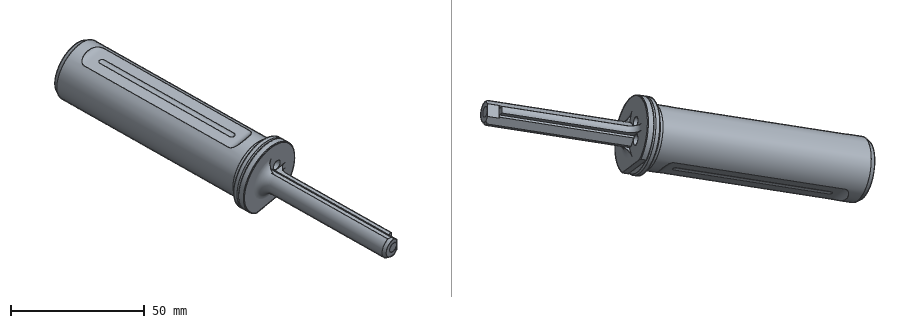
import cadquery as cq
import math

TOTAL_LENGTH = 155.0

GRIP_RADIUS = 12.5
GRIP_CHAMFER_LENGTH = 2.0
GRIP_CHAMFER_DEPTH = 1.16
RELIEF_START = 87.5
RELIEF_TAPER_LENGTH = 1.0
RELIEF_DEPTH = 0.3

FLANGE_START = 89.7
FLANGE_RADIUS = 15.0
FLANGE_WIDTH = 5.3
FLANGE_CHAMFER = 0.3
RIM_WIDTH = 2.6
RIM_TAPER_LENGTH = 0.8
RIM_TAPER_DEPTH = 0.5
FLANGE_END = FLANGE_START + FLANGE_WIDTH
RIM_END = FLANGE_START + RIM_WIDTH

SHAFT_RADIUS = 5.0
SHAFT_FILLET = 4.0
TIP_CHAMFER_LENGTH = 1.2
TIP_CHAMFER_DEPTH = 1.0

FLAT_START = 9.9
FLAT_END = 80.0
FLAT_HEIGHT = 11.0
FLAT_CUTTER_RADIUS = 4.0

GROOVE_START = 12.4
GROOVE_END = 77.8
GROOVE_WIDTH = 2.5
GROOVE_BALL_RADIUS = 2.0

WIRE_HOLE_RADIUS = 2.0
WIRE_HOLE_Y = 4.2
WIRE_HOLE_Z = 3.5
RIB_HALF_THICKNESS = 1.35
RIB_ROOT_Y = 2.5
RIB_END = 150.2
SHAFT_FLAT_WIDTH = 1.5
SHAFT_FLAT_HEIGHT = math.sqrt(SHAFT_RADIUS**2 - SHAFT_FLAT_WIDTH**2)
CHANNEL_WALL_TOP_Y = 0.8
TIP_CUT_Y = 2.2

PIN_RADIUS = 2.0

SIDES = (1, -1)


def x_cylinder(radius, start, end, y=0.0, z=0.0):
    """Cylinder parallel to X."""
    return cq.Workplane("YZ", origin=(start, y, z)).circle(radius).extrude(end - start)


def turned_blank():
    """Grip, flange and shaft as one turned shape."""
    relief_radius = GRIP_RADIUS - RELIEF_DEPTH
    fillet_end = FLANGE_END + SHAFT_FILLET
    fillet_center_radius = SHAFT_RADIUS + SHAFT_FILLET
    fillet_reach = SHAFT_FILLET * math.sqrt(0.5)
    profile = (
        cq.Workplane("XY")
        .moveTo(0, 0)
        .lineTo(0, GRIP_RADIUS - GRIP_CHAMFER_DEPTH)
        .lineTo(GRIP_CHAMFER_LENGTH, GRIP_RADIUS)
        .lineTo(RELIEF_START, GRIP_RADIUS)
        .lineTo(RELIEF_START + RELIEF_TAPER_LENGTH, relief_radius)
        .lineTo(FLANGE_START, relief_radius)
        .lineTo(FLANGE_START, FLANGE_RADIUS - FLANGE_CHAMFER)
        .lineTo(FLANGE_START + FLANGE_CHAMFER, FLANGE_RADIUS)
        .lineTo(RIM_END - RIM_TAPER_LENGTH, FLANGE_RADIUS)
        .lineTo(RIM_END, FLANGE_RADIUS - RIM_TAPER_DEPTH)
        .lineTo(RIM_END, FLANGE_RADIUS)
        .lineTo(FLANGE_END - FLANGE_CHAMFER, FLANGE_RADIUS)
        .lineTo(FLANGE_END, FLANGE_RADIUS - FLANGE_CHAMFER)
        .lineTo(FLANGE_END, fillet_center_radius)
        .threePointArc(
            (fillet_end - fillet_reach, fillet_center_radius - fillet_reach),
            (fillet_end, SHAFT_RADIUS),
        )
        .lineTo(TOTAL_LENGTH - TIP_CHAMFER_LENGTH, SHAFT_RADIUS)
        .lineTo(TOTAL_LENGTH, SHAFT_RADIUS - TIP_CHAMFER_DEPTH)
        .lineTo(TOTAL_LENGTH, 0)
        .close()
    )
    return profile.revolve(360, (0, 0, 0), (1, 0, 0))


def flange_flat():
    """Material below the flat on the second flange disc, level with the grip."""
    depth = FLANGE_RADIUS - GRIP_RADIUS
    return cq.Workplane("XY").box(
        FLANGE_END - RIM_END, 2 * FLANGE_RADIUS, depth, centered=(False, True, False)
    ).translate((RIM_END, 0, -FLANGE_RADIUS))


def grip_flat(side):
    """Cutter for one grip flat, whose ends sweep up with the cutter radius."""
    radius = FLAT_CUTTER_RADIUS
    floor = side * FLAT_HEIGHT
    top = side * (FLAT_HEIGHT + radius)
    middle_rise = side * radius * (1 - math.sqrt(0.5))
    middle_run = radius * math.sqrt(0.5)
    return (
        cq.Workplane("XZ")
        .moveTo(FLAT_START, floor)
        .lineTo(FLAT_END, floor)
        .threePointArc((FLAT_END + middle_run, floor + middle_rise), (FLAT_END + radius, top))
        .lineTo(FLAT_START - radius, top)
        .threePointArc((FLAT_START - middle_run, floor + middle_rise), (FLAT_START, floor))
        .close()
        .extrude(GRIP_RADIUS, both=True)
    )


def grip_groove(side):
    """Ball-ended cutter, sunk into a flat only as far as the groove width needs."""
    half_width = GROOVE_WIDTH / 2
    lift = math.sqrt(GROOVE_BALL_RADIUS**2 - half_width**2)
    z = side * (FLAT_HEIGHT + lift)
    start = GROOVE_START + half_width
    end = GROOVE_END - half_width
    groove = x_cylinder(GROOVE_BALL_RADIUS, start, end, z=z)
    for x in (start, end):
        groove = groove.union(cq.Workplane("XY", origin=(x, 0, z)).sphere(GROOVE_BALL_RADIUS))
    return groove


def shaft_channel(side):
    """Open channel along the shaft: a narrow flat, a 45 degree slope and the top of the rib."""
    outside = SHAFT_RADIUS + SHAFT_FILLET
    section = [
        (-SHAFT_FLAT_WIDTH, SHAFT_FLAT_HEIGHT),
        (0, SHAFT_FLAT_HEIGHT),
        (RIB_ROOT_Y, SHAFT_FLAT_HEIGHT - RIB_ROOT_Y),
        (RIB_ROOT_Y, RIB_HALF_THICKNESS),
        (outside, RIB_HALF_THICKNESS),
        (outside, outside),
        (CHANNEL_WALL_TOP_Y, outside),
    ]
    return (
        cq.Workplane("YZ", origin=(FLANGE_END, 0, 0))
        .polyline([(y, side * z) for y, z in section])
        .close()
        .extrude(TOTAL_LENGTH - FLANGE_END)
    )


def tip_cut():
    """Removes the rib from the last stretch of the shaft."""
    return cq.Workplane("XY").box(
        TOTAL_LENGTH - RIB_END, SHAFT_RADIUS, 2 * SHAFT_RADIUS, centered=(False, False, True)
    ).translate((RIB_END, TIP_CUT_Y, 0))


def make_pin():
    return x_cylinder(PIN_RADIUS, 0, TOTAL_LENGTH)


def make_holder():
    holder = turned_blank().cut(flange_flat())
    for side in SIDES:
        holder = holder.cut(grip_flat(side))
        holder = holder.cut(grip_groove(side))
        holder = holder.cut(x_cylinder(WIRE_HOLE_RADIUS, 0, FLANGE_END, WIRE_HOLE_Y, side * WIRE_HOLE_Z))
        holder = holder.cut(shaft_channel(side))
    holder = holder.cut(tip_cut())
    return holder.cut(make_pin())


holder = make_holder()
pin = make_pin()

result = cq.Compound.makeCompound([holder.val(), pin.val()])